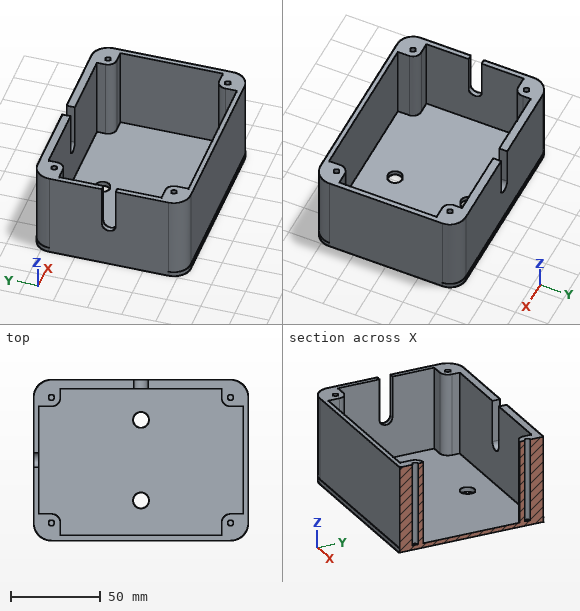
import cadquery as cq

length = 120
width = 90
height = 53.0
corner_radius = 10.0
base_ledge = 0.1

wall = 3.0
back_wall = 5.0
floor = 3.0
overlap = 1.2

boss_radius = 5.0
screw_diameter = 3.2
screw_depth = height - floor

slot_width = 8.0
slot_depth = 29.0

mount_diameter = 8.8
mount_spacing = 45.0

boss_x = length / 2 - corner_radius
boss_y = width / 2 - corner_radius


def rounded_block(depth, block_height):
    """Centered block with rounded vertical edges."""
    return (
        cq.Workplane("XY")
        .box(length, depth, block_height, (True, True, False))
        .edges("|Z")
        .fillet(corner_radius)
    )


def outer_block():
    body = rounded_block(width - 2 * base_ledge, height)
    base_plate = rounded_block(width, floor)
    return body.union(base_plate)


def corner_boss(side_x, side_y):
    """Square corner post with its innermost vertical edge rounded."""
    size = corner_radius + boss_radius
    center_x = side_x * (length - size) / 2
    center_y = side_y * (width - size) / 2
    inner_edge = ("<X" if side_x > 0 else ">X", "<Y" if side_y > 0 else ">Y")
    return (
        cq.Workplane("XY", origin=(center_x, center_y, floor))
        .box(size, size, height - floor + overlap, (True, True, False))
        .edges("|Z").edges(inner_edge[0]).edges(inner_edge[1])
        .fillet(boss_radius)
    )


def cavity():
    pocket = (
        cq.Workplane("XY", origin=(0, (wall - back_wall) / 2, floor))
        .box(length - 2 * wall, width - wall - back_wall, height - floor + overlap, (True, True, False))
    )
    for side_x in (-1, 1):
        for side_y in (-1, 1):
            pocket = pocket.cut(corner_boss(side_x, side_y))
    return pocket


def cable_slot(thickness):
    """Round-bottomed slot cutter through a +Y wall of the given thickness."""
    half = slot_width / 2
    bottom = height - slot_depth
    return (
        cq.Workplane("XZ", origin=(0, width / 2 + overlap, 0))
        .moveTo(-half, height + overlap)
        .lineTo(-half, bottom + half)
        .threePointArc((0, bottom), (half, bottom + half))
        .lineTo(half, height + overlap)
        .close()
        .extrude(thickness + 2 * overlap)
    )


back_slot = cable_slot(back_wall)
side_slot = (
    cable_slot(wall)
    .translate((0, (length - width) / 2, 0))
    .rotate((0, 0, 0), (0, 0, 1), 90)
)
mount_holes = (
    cq.Workplane("XY")
    .pushPoints([(0, -mount_spacing / 2), (0, mount_spacing / 2)])
    .circle(mount_diameter / 2)
    .extrude(floor)
)
screw_holes = (
    cq.Workplane("XY", origin=(0, 0, height - screw_depth))
    .rect(2 * boss_x, 2 * boss_y, forConstruction=True)
    .vertices()
    .circle(screw_diameter / 2)
    .extrude(screw_depth)
)

result = outer_block().cut(cavity()).cut(back_slot).cut(side_slot).cut(mount_holes).cut(screw_holes)